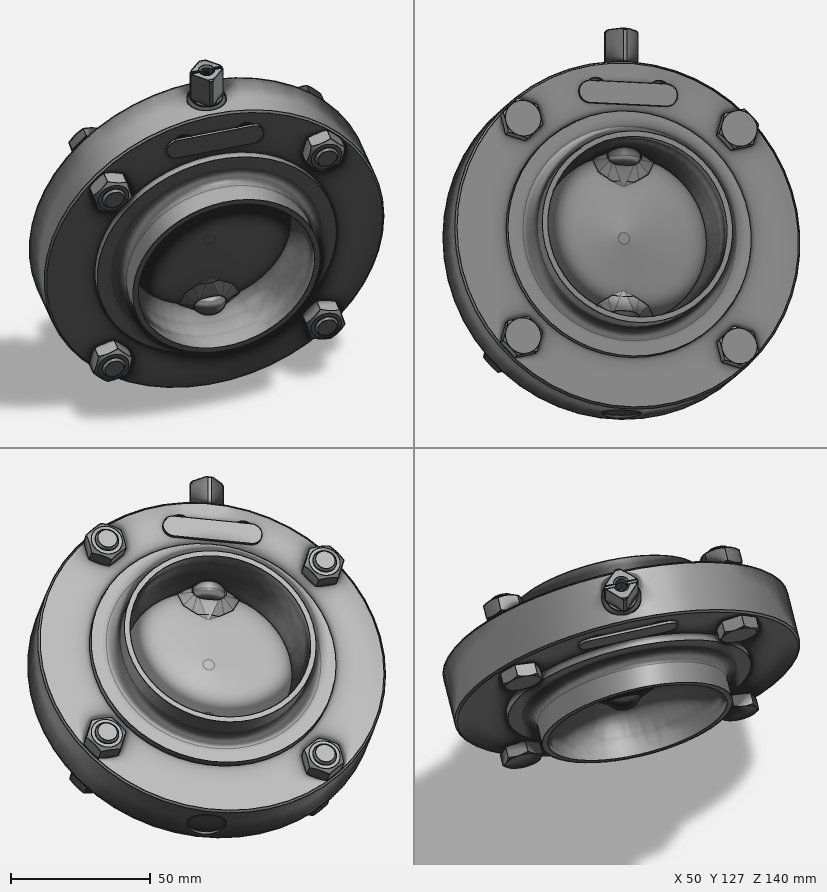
import cadquery as cq
import math

overall_height = 140.0

flange_diameter = 127.0
flange_half_width = 10.0
flange_chamfer = 0.7
face_diameter = 89.5
face_x = 12.7
pipe_diameter = 70.0
pipe_length = 50.0
neck_radius = 4.2

bore_mouth_diameter = 66.0
bore_seat_diameter = 61.3
seat_start_diameter = 65.5
seat_start_x = 7.7
seat_x = 2.7
disc_tip_x = 3.9
disc_tip_diameter = 4.2

hub_diameter = 14.8
hub_end_z = 26.6
hub_round = 3.1
hub_root_z = 32.9
hub_root_round = 0.5

web_foot = [(0.3, 18.6), (5.7, 21.8), (9.1, 24.0), (11.3, 28.4), (9.2, 31.9)]
web_crest = [(3.5, 26.6), (4.5, 27.3), (5.5, 28.0), (6.3, 28.8), (6.3, 31.9)]
web_foot_x = 3.1
web_crest_x = 4.5

stem_diameter = 12.0
stem_flats = 9.4
stem_bottom_z = 64.4
stem_chamfer = 0.5
neck_diameter = 11.3
shaft_diameter = 14.1
shaft_seat_z = 62.5
collar_top_z = 63.8
stem_hole_diameter = 4.2
stem_hole_depth = 4.2
stem_countersink_diameter = 5.7
mark_width = 1.1
mark_depth = 0.7

bolt_offset = 39.8
hex_flats = 13.0
washer_diameter = 11.3
head_inner_x = -10.6
head_outer_x = -15.4
nut_outer_x = 16.8
nut_end_diameter = 11.3
bolt_collar_diameter = 8.5
bolt_collar_x = 17.1
bolt_tip_diameter = 7.1
bolt_tip_x = 18.0
bolt_count = 4
hex_turn = 15
hex_chamfer_slope = math.tan(math.radians(30))

plate_length = 36.1
plate_height = 8.1
plate_z = 51.7
plate_thickness = 1.05
plate_hole_diameter = 7.3
plate_hole_y = 11.6
plate_hole_z = 53.5
plate_hole_depth = 1.4

hex_corner_diameter = hex_flats / math.cos(math.radians(30))
flange_radius = flange_diameter / 2
pipe_end_x = pipe_length / 2
top_z = overall_height - flange_radius


def rod(diameter, x_start, x_end):
    """Cylinder along X."""
    return cq.Workplane("YZ", origin=(x_start, 0, 0)).circle(diameter / 2).extrude(x_end - x_start)


def turned_x(points):
    """Solid turned about X from (x, radius) points."""
    return cq.Workplane("XY").polyline(points).close().revolve(360, (0, 0, 0), (1, 0, 0))


def turned_z(points):
    """Solid turned about Z from (radius, z) points."""
    return cq.Workplane("XZ").polyline(points).close().revolve(360, (0, 0, 0), (0, 1, 0))


def both_sides(shape):
    """Shape together with its mirror image on the other side of the disc."""
    return shape.union(shape.mirror("YZ"))


def pipe_end():
    pipe_radius = pipe_diameter / 2
    arc_middle = neck_radius * (1 - math.sqrt(0.5))
    profile = (
        cq.Workplane("XY")
        .lineTo(-pipe_end_x, 0)
        .lineTo(-pipe_end_x, pipe_radius)
        .lineTo(-face_x - neck_radius, pipe_radius)
        .threePointArc(
            (-face_x - arc_middle, pipe_radius + arc_middle),
            (-face_x, pipe_radius + neck_radius),
        )
        .lineTo(-face_x, face_diameter / 2)
        .lineTo(0, face_diameter / 2)
        .close()
    )
    return profile.revolve(360, (0, 0, 0), (1, 0, 0))


def bore():
    """Left bore, nearly straight and then closing in smoothly on the disc."""
    mouth = (-pipe_end_x, bore_mouth_diameter / 2)
    narrowing = (-seat_start_x, seat_start_diameter / 2)
    seat = (-seat_x, bore_seat_diameter / 2)
    profile = (
        cq.Workplane("XY")
        .moveTo(-pipe_end_x, 0)
        .lineTo(*mouth)
        .spline([narrowing, seat], includeCurrent=True)
        .lineTo(-disc_tip_x, disc_tip_diameter / 2)
        .lineTo(-disc_tip_x, 0)
        .close()
    )
    return profile.revolve(360, (0, 0, 0), (1, 0, 0))


def web():
    """Faceted web on the left face of the disc, below the upper hub."""
    def outline(half):
        return half + [(-y, z) for y, z in reversed(half)]

    return (
        cq.Workplane("YZ", origin=(-web_crest_x, 0, 0))
        .polyline(outline(web_crest))
        .close()
        .workplane(offset=web_crest_x - web_foot_x)
        .polyline(outline(web_foot))
        .close()
        .loft(ruled=True)
    )


def upper_hub():
    height = hub_root_z - hub_end_z
    hub = cq.Workplane("XY", origin=(0, 0, hub_end_z)).circle(hub_diameter / 2).extrude(height)
    hub = hub.faces("<Z").edges().fillet(hub_round)
    hub = hub.faces(">Z").edges().fillet(hub_root_round)
    return hub.union(both_sides(web()))


def body():
    flange = rod(flange_diameter, -flange_half_width, flange_half_width)
    flange = flange.faces("<X or >X").chamfer(flange_chamfer)
    hub = upper_hub()
    solid = flange.union(both_sides(pipe_end())).cut(both_sides(bore()))
    return solid.union(hub).union(hub.mirror("XY"))


def shaft_recess():
    """Shaft hole from the seat outwards through the top of the flange rim."""
    depth = flange_radius - shaft_seat_z
    return cq.Workplane("XY", origin=(0, 0, shaft_seat_z)).circle(shaft_diameter / 2).extrude(depth)


def stem():
    collar = turned_z([
        (0, shaft_seat_z),
        (shaft_diameter / 2, shaft_seat_z),
        (neck_diameter / 2, collar_top_z),
        (neck_diameter / 2, stem_bottom_z),
        (0, stem_bottom_z),
    ])
    height = top_z - stem_bottom_z
    base = cq.Workplane("XY", origin=(0, 0, stem_bottom_z))
    square = base.transformed(rotate=(0, 0, 45)).rect(stem_flats, stem_flats).extrude(height)
    turned = base.circle(stem_diameter / 2).extrude(height).faces(">Z").chamfer(stem_chamfer)

    hole_radius = stem_hole_diameter / 2
    sink_radius = stem_countersink_diameter / 2
    hole = turned_z([
        (0, top_z),
        (sink_radius, top_z),
        (hole_radius, top_z - (sink_radius - hole_radius)),
        (hole_radius, top_z - stem_hole_depth),
        (0, top_z - stem_hole_depth - hole_radius),
    ])
    mark = cq.Workplane("XY").box(mark_width, stem_diameter, 2 * mark_depth).translate((0, 0, top_z))
    return collar.union(square.intersect(turned).cut(hole).cut(mark))


def hexagon(x_start, x_end):
    """Hexagonal prism along X, turned so that two flats face the flange axis once it is placed."""
    base = cq.Workplane("YZ", origin=(x_start, 0, 0))
    prism = base.polygon(6, hex_corner_diameter).extrude(x_end - x_start)
    return prism.rotate((0, 0, 0), (1, 0, 0), hex_turn)


def bolt():
    """Head, washer, nut and thread end of one bolt, centred on the X axis."""
    corner = hex_corner_diameter / 2
    flat = hex_flats / 2
    chamfer = (corner - flat) * hex_chamfer_slope
    head_envelope = turned_x([
        (head_outer_x, 0),
        (head_outer_x, flat),
        (head_outer_x + chamfer, corner),
        (head_inner_x, corner),
        (head_inner_x, 0),
    ])
    nut_end = nut_end_diameter / 2
    nut_chamfer = (corner - nut_end) * hex_chamfer_slope
    nut_envelope = turned_x([
        (flange_half_width, 0),
        (flange_half_width, nut_end),
        (flange_half_width + nut_chamfer, corner),
        (nut_outer_x - nut_chamfer, corner),
        (nut_outer_x, nut_end),
        (nut_outer_x, 0),
    ])
    washer = rod(washer_diameter, head_inner_x, -flange_half_width)
    tip = turned_x([
        (flange_half_width, 0),
        (flange_half_width, bolt_collar_diameter / 2),
        (bolt_collar_x, bolt_collar_diameter / 2),
        (bolt_tip_x, bolt_tip_diameter / 2),
        (bolt_tip_x, 0),
    ])
    head = hexagon(head_outer_x, head_inner_x).intersect(head_envelope)
    nut = hexagon(flange_half_width, nut_outer_x).intersect(nut_envelope)
    return [head, washer, nut, tip]


def plate_holes():
    start = flange_half_width - plate_hole_depth
    holes = (
        cq.Workplane("YZ", origin=(start, 0, 0))
        .pushPoints([(-plate_hole_y, plate_hole_z), (plate_hole_y, plate_hole_z)])
        .circle(plate_hole_diameter / 2)
        .extrude(plate_hole_depth)
    )
    return both_sides(holes)


def plates():
    plate = (
        cq.Workplane("YZ", origin=(flange_half_width, 0, plate_z))
        .slot2D(plate_length, plate_height)
        .extrude(plate_thickness)
    )
    return both_sides(plate)


result = body()
result = result.cut(shaft_recess()).cut(shaft_recess().mirror("XY"))
result = result.union(stem()).cut(plate_holes()).union(plates())
for turn in range(bolt_count):
    for piece in bolt():
        placed = piece.translate((0, bolt_offset, bolt_offset))
        result = result.union(placed.rotate((0, 0, 0), (1, 0, 0), 360 / bolt_count * turn))